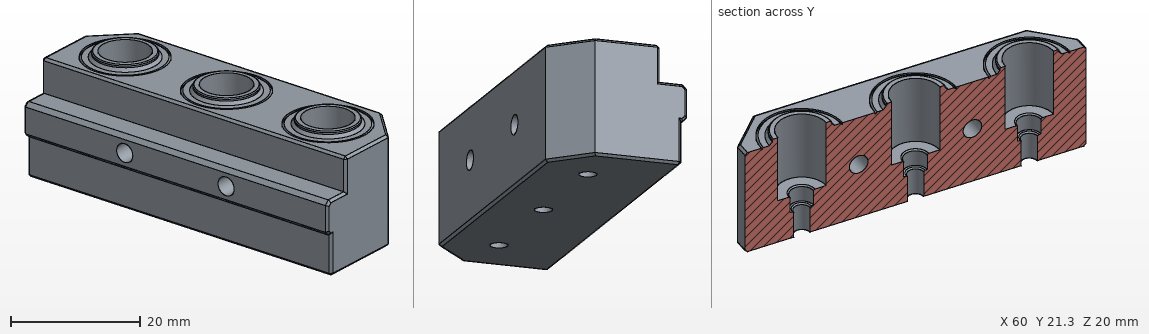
import cadquery as cq

length = 60.0
base_depth = 20.3
rail_depth = 21.25
top_depth = 16.7
body_height = 18.95
rail_bottom = 7.0
rail_top = 13.0
corner_cut = 6.0
edge_chamfer = 0.4
rail_chamfer = 0.7

insert_pitch = length / 3
insert_x_positions = [step * insert_pitch for step in (-1, 0, 1)]
insert_axis_to_back = 8.45
insert_diameter = 14.3
insert_chamfer = 0.35
collar_foot_diameter = 11.45
collar_diameter = 10.45
collar_top = 20.0
collar_chamfer = 0.2
collar_straight_height = 0.3

bore_diameter = 8.45
bore_depth = 12.0
counterbore_diameter = 4.1
counterbore_depth = 3.0
through_diameter = 2.8
bore_chamfer = 0.25

cross_hole_diameter = 3.2
cross_hole_height = 10.0

back_y = insert_axis_to_back
front_y = back_y - rail_depth
base_y = back_y - base_depth
step_y = back_y - top_depth


def make_block():
    """Stepped profile along X, with cut back corners and chamfered edges."""
    profile = [
        (back_y, 0),
        (base_y, 0),
        (base_y, rail_bottom),
        (front_y + rail_chamfer, rail_bottom),
        (front_y, rail_bottom + rail_chamfer),
        (front_y, rail_top - rail_chamfer),
        (front_y + rail_chamfer, rail_top),
        (step_y, rail_top),
        (step_y, body_height),
        (back_y, body_height),
    ]
    block = (
        cq.Workplane("YZ")
        .polyline(profile)
        .close()
        .extrude(length / 2, both=True)
        .edges("|Z and >Y")
        .chamfer(corner_cut)
    )
    level_edges = block.faces(">Z or <Z").edges()
    front_end_edges = block.faces("<X or >X").edges("not(|Z and >Y)")
    return level_edges.add(front_end_edges).chamfer(edge_chamfer)


def revolve_around_z(outline):
    """Revolve a closed (radius, height) outline around the Z axis."""
    return cq.Workplane("XZ").polyline(outline).close().revolve(360, (0, 0), (0, 1))


def make_collar():
    """Raised ring: conical foot, short straight side, chamfered top."""
    foot_radius = collar_foot_diameter / 2
    radius = collar_diameter / 2
    straight_top = collar_top - collar_chamfer
    return revolve_around_z([
        (0, body_height - insert_chamfer),
        (foot_radius, body_height - insert_chamfer),
        (foot_radius, body_height),
        (radius, straight_top - collar_straight_height),
        (radius, straight_top),
        (radius - collar_chamfer, collar_top),
        (0, collar_top),
    ])


def make_insert_groove():
    """V groove left by the chamfered rim of the insert."""
    radius = insert_diameter / 2
    return revolve_around_z([
        (radius, body_height),
        (radius - insert_chamfer, body_height),
        (radius, body_height - insert_chamfer),
    ])


def make_bore():
    """Bore, counterbore and through hole, the last two with chamfered mouths."""
    bore_radius = bore_diameter / 2
    counterbore_radius = counterbore_diameter / 2
    through_radius = through_diameter / 2
    bore_floor = collar_top - bore_depth
    counterbore_floor = bore_floor - counterbore_depth
    return revolve_around_z([
        (0, 0),
        (through_radius, 0),
        (through_radius, counterbore_floor - bore_chamfer),
        (through_radius + bore_chamfer, counterbore_floor),
        (counterbore_radius, counterbore_floor),
        (counterbore_radius, bore_floor - bore_chamfer),
        (counterbore_radius + bore_chamfer, bore_floor),
        (bore_radius, bore_floor),
        (bore_radius, collar_top),
        (0, collar_top),
    ])


def make_cross_holes():
    """Holes along Y through the full depth."""
    positions = [(side * insert_pitch / 2, cross_hole_height) for side in (-1, 1)]
    return (
        cq.Workplane("XZ", origin=(0, back_y, 0))
        .pushPoints(positions)
        .circle(cross_hole_diameter / 2)
        .extrude(rail_depth)
    )


result = make_block().cut(make_cross_holes())
for x in insert_x_positions:
    place = (x, 0, 0)
    result = result.cut(make_insert_groove().translate(place))
    result = result.union(make_collar().translate(place))
    result = result.cut(make_bore().translate(place))